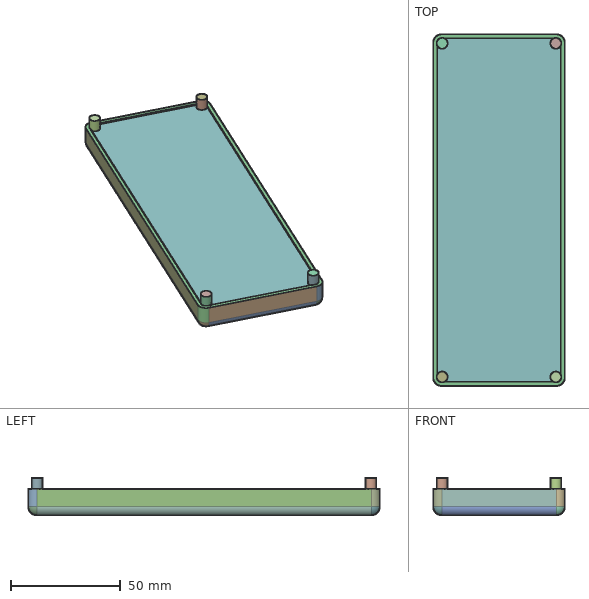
import cadquery as cq

length = 160.0
width = 60.0
total_height = 17.0
pin_height = 5.0
body_height = total_height - pin_height

corner_radius = 4.0
pin_inset = 4.2
bottom_radius = corner_radius
rim_width = 2.0
recess_depth = 0.6
pin_diameter = 5.0
floor_height = body_height - recess_depth


def make_tray():
    """Rounded plate with a shallow recess in its top, bounded by a thin rim."""
    body = (
        cq.Workplane("XY")
        .rect(width, length)
        .extrude(body_height)
        .edges("|Z")
        .fillet(corner_radius)
        .faces("<Z")
        .edges()
        .fillet(bottom_radius)
    )
    recess = (
        cq.Workplane("XY")
        .workplane(offset=floor_height)
        .rect(width - 2 * rim_width, length - 2 * rim_width)
        .extrude(recess_depth)
        .edges("|Z")
        .fillet(corner_radius - rim_width)
    )
    return body.cut(recess)


def make_pins():
    """Four locating pins beside the rounded corners, standing on the recess floor."""
    return (
        cq.Workplane("XY")
        .workplane(offset=floor_height)
        .rect(width - 2 * pin_inset, length - 2 * pin_inset, forConstruction=True)
        .vertices()
        .circle(pin_diameter / 2)
        .extrude(total_height - floor_height)
    )


result = make_tray().union(make_pins())